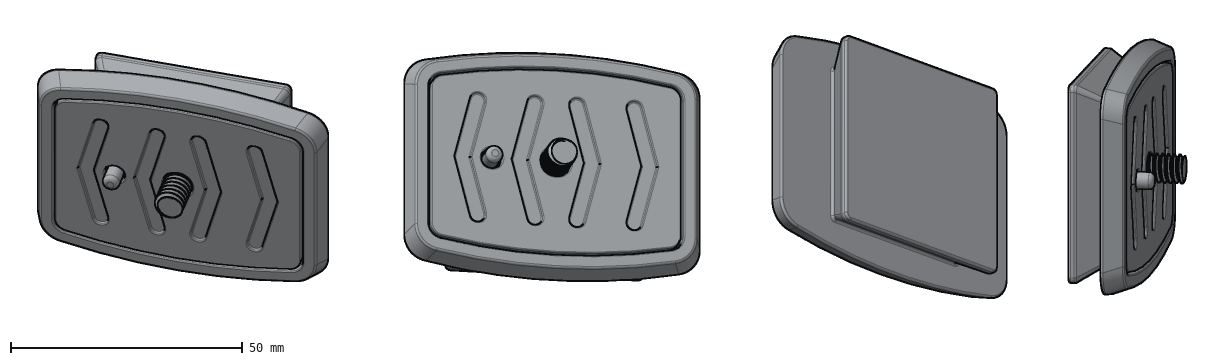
import cadquery as cq
import math


plate_width = 65.1
plate_height = 51.1
plate_thickness = 5.0
plate_crown_radius = 137.35
plate_corner_radius = 6.25
plate_draft = 20
plate_back_fillet = 0.45
plate_front_fillet = 0.6
rim_width = 2.85
recess_fillet = 0.25

dovetail_width = 43.75
dovetail_height = 9.0
dovetail_land = 1.55
dovetail_angle = 30
land_corner_radius = 1.4
neck_corner_radius = 0.85
dovetail_back_fillet = 0.5
dovetail_blend_fillet = 1.0
neck_fillet = 0.5

pad_thickness = 2.0
pad_gap = 0.5
pad_edge_fillet = 0.25
hole_edge_fillet = 0.3
screw_hole_radius = 3.3
pin_hole_radius = 2.3

slot_half_width = 1.7
slot_depth = 0.6
slot_floor_fillet = 0.25
slot_end_height = 12.8
slot_lean = 3.3
slot_end_places = (4.6, 17.25)

screw_length = 7.55
thread_pitch = 1.27
thread_radius = 3.2
root_radius = 2.4
crest_width = 0.155
thread_flank_angle = 30
ridge_overlap = 0.1

pin_x = -14.1
pin_radius = 1.9
pin_length = 3.65
pin_tip_fillet = 1.1

draft_tangent = math.tan(math.radians(plate_draft))
back_edge_loss = plate_back_fillet * (math.tan(math.radians(45 + plate_draft / 2)) - 1)
sharp_half_width = plate_width / 2 + back_edge_loss
sharp_half_height = plate_height / 2 + back_edge_loss
recess_inset = plate_thickness * draft_tangent + rim_width
recess_corner_radius = plate_corner_radius - rim_width
dovetail_back = plate_thickness + dovetail_height


def xz_plane(y):
    """Sketch plane at Y = y with X to the right and Z up; it extrudes toward -Y."""
    return cq.Workplane("XZ", origin=(0, y, 0))


def edges_in_band(y_low, y_high, half_size):
    """Selects the edges whose centre lies between two Y values and within half_size of the Y axis."""
    return cq.selectors.BoxSelector(
        (-half_size, y_low, -half_size), (half_size, y_high, half_size)
    )


def crowned_outline(y, inset):
    """Plate outline with sharp corners, moved inward: straight sides, curved top and bottom."""
    half_width = sharp_half_width - inset
    half_height = sharp_half_height - inset
    radius = plate_crown_radius - inset
    corner_height = half_height - radius + math.sqrt(radius**2 - half_width**2)
    return (
        xz_plane(y)
        .moveTo(-half_width, -corner_height)
        .threePointArc((0, -half_height), (half_width, -corner_height))
        .lineTo(half_width, corner_height)
        .threePointArc((0, half_height), (-half_width, corner_height))
        .close()
    )


def crowned_block(inset, corner_radius):
    """Block with the plate outline moved inward, as deep as the pad."""
    block = crowned_outline(pad_thickness, inset).extrude(pad_thickness)
    return block.edges("|Y").fillet(corner_radius)


def make_plate():
    plate = crowned_outline(plate_thickness, 0).extrude(plate_thickness, taper=plate_draft)
    corner_edges = edges_in_band(0.2 * plate_thickness, 0.8 * plate_thickness, plate_width)
    plate = plate.edges(corner_edges).fillet(plate_corner_radius)
    plate = plate.faces(">Y").edges().fillet(plate_back_fillet)
    plate = plate.faces("<Y").edges().fillet(plate_front_fillet)
    recess = crowned_block(recess_inset, recess_corner_radius)
    plate = plate.cut(recess.faces(">Y").edges().fillet(recess_fillet))
    recess_edge = edges_in_band(-0.05, 0.05, sharp_half_width - recess_inset + 0.05)
    return plate.faces("<Y").edges(recess_edge).fillet(recess_fillet)


def make_dovetail():
    flare_height = dovetail_height - dovetail_land
    neck_width = dovetail_width - 2 * flare_height * math.tan(math.radians(dovetail_angle))
    land_square = cq.Sketch().rect(dovetail_width, dovetail_width)
    land_square = land_square.vertices().fillet(land_corner_radius)
    neck_square = cq.Sketch().rect(neck_width, neck_width)
    neck_square = neck_square.vertices().fillet(neck_corner_radius)
    flare_top = land_square.moved(cq.Location(cq.Vector(0, 0, -flare_height)))
    flare = xz_plane(plate_thickness).placeSketch(neck_square, flare_top).loft(ruled=True)
    land = xz_plane(dovetail_back).placeSketch(land_square).extrude(dovetail_land)
    land_start = dovetail_back - dovetail_land
    blend_edges = edges_in_band(land_start - 0.05, land_start + 0.05, dovetail_width)
    block = flare.union(land)
    block = block.faces(">Y").edges().fillet(dovetail_back_fillet)
    return block.edges(blend_edges).fillet(dovetail_blend_fillet)


def make_base():
    base = make_plate().union(make_dovetail())
    neck_edges = edges_in_band(plate_thickness - 0.05, plate_thickness + 0.05, dovetail_width / 2)
    return base.edges(neck_edges).fillet(neck_fillet)


def make_slot(side, end_x):
    """Chevron slot cutter; side is +1 or -1, the way its elbow points."""
    elbow_x = end_x + slot_lean
    arm = math.hypot(slot_lean, slot_end_height)
    along_x = -slot_lean / arm
    along_z = slot_end_height / arm
    across_x = slot_half_width * along_z
    across_z = -slot_half_width * along_x
    elbow_half = slot_half_width / along_z
    tip_x = end_x + slot_half_width * along_x
    tip_z = slot_end_height + slot_half_width * along_z
    slot = (
        xz_plane(slot_depth)
        .moveTo(side * (elbow_x + elbow_half), 0)
        .lineTo(side * (end_x + across_x), slot_end_height + across_z)
        .threePointArc(
            (side * tip_x, tip_z),
            (side * (end_x - across_x), slot_end_height - across_z),
        )
        .lineTo(side * (elbow_x - elbow_half), 0)
        .lineTo(side * (end_x - across_x), across_z - slot_end_height)
        .threePointArc(
            (side * tip_x, -tip_z),
            (side * (end_x + across_x), -slot_end_height - across_z),
        )
        .close()
        .extrude(slot_depth)
    )
    return slot.faces(">Y").edges().fillet(slot_floor_fillet)


def make_pad():
    pad = crowned_block(recess_inset + pad_gap, recess_corner_radius - pad_gap)
    for side in (-1, 1):
        for end_x in slot_end_places:
            pad = pad.cut(make_slot(side, end_x))
    pad = pad.faces("<Y").edges().fillet(pad_edge_fillet)
    for hole_x, hole_radius in ((0, screw_hole_radius), (pin_x, pin_hole_radius)):
        hole = xz_plane(pad_thickness).center(hole_x, 0).circle(hole_radius).extrude(pad_thickness)
        mouth_radius = hole_radius + hole_edge_fillet
        mouth = cq.selectors.BoxSelector(
            (hole_x - mouth_radius, -0.05, -mouth_radius), (hole_x + mouth_radius, 0.05, mouth_radius), True
        )
        pad = pad.cut(hole).edges(mouth).fillet(hole_edge_fillet)
    return pad


def make_screw():
    """Threaded stud that stands on the recess floor; right-handed thread with its crest at +X on the end."""
    stud_length = screw_length + pad_thickness
    run_out = 2 * thread_pitch
    ridge_height = thread_radius - root_radius + ridge_overlap
    crest_half = crest_width / 2
    base_half = crest_half + ridge_height * math.tan(math.radians(thread_flank_angle))
    foot_radius = root_radius - ridge_overlap

    helix = cq.Wire.makeHelix(thread_pitch, stud_length + 2 * run_out, thread_radius)
    ridge = (
        cq.Workplane("XZ")
        .polyline(
            [
                (foot_radius, -base_half),
                (thread_radius, -crest_half),
                (thread_radius, crest_half),
                (foot_radius, base_half),
            ]
        )
        .close()
        .sweep(cq.Workplane(helix), isFrenet=True)
        .translate((0, 0, -run_out))
    )
    trim = cq.Workplane("XY").circle(2 * thread_radius).extrude(stud_length)
    core_length = stud_length + 2 * run_out
    core = cq.Workplane("XY").circle(root_radius).extrude(core_length)
    core = core.rotate((0, 0, 0), (0, 0, 1), 180).translate((0, 0, -run_out))
    stud = core.union(ridge).intersect(trim)
    return stud.rotate((0, 0, 0), (1, 0, 0), -90).translate((0, -screw_length, 0))


def make_pin():
    """Round pin that stands on the recess floor."""
    pin = xz_plane(pad_thickness).center(pin_x, 0).circle(pin_radius)
    pin = pin.extrude(pad_thickness + pin_length)
    return pin.faces("<Y").edges().fillet(pin_tip_fillet)


base = make_base()
pad = make_pad()
screw = make_screw()
pin = make_pin()
result = cq.Compound.makeCompound([body.solids().val() for body in (base, pad, screw, pin)])